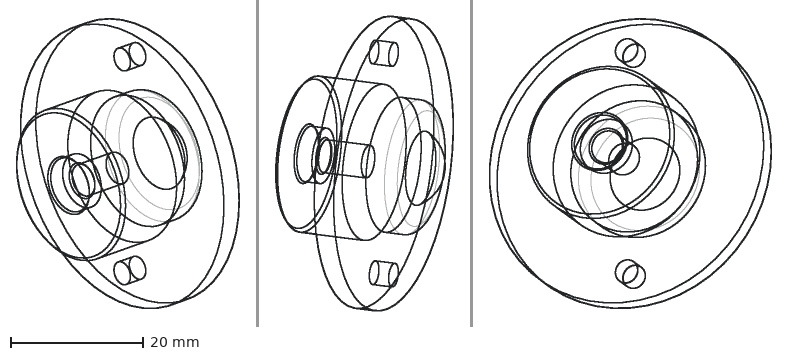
import cadquery as cq

flange_diameter = 44.5
flange_thickness = 3.2
screw_hole_diameter = 3.6
screw_hole_spacing = 34.8

body_diameter = 23.8
body_length = 11.2
body_chamfer = 0.55

cap_diameter = 20.55
cap_height = 4.5
cap_fillet = 1.45

ball_diameter = 12.7
ball_protrusion = 3.45

counterbore_diameter = 8.45
counterbore_depth = 2.8
bore_diameter = 5.0
bore_chamfer = 0.3

body_front = -body_length
cap_back = flange_thickness + cap_height
ball_center = cap_back + ball_protrusion - ball_diameter / 2


def disc(diameter, start, length):
    """Cylinder along +Y from Y = start."""
    plane = cq.Workplane("XZ", origin=(0, start, 0))
    return plane.circle(diameter / 2).extrude(-length)


def chamfered_hole(diameter, start, length):
    """Hole cutter along +Y, widened by the bore chamfer at its front rim."""
    mouth_radius = diameter / 2 + bore_chamfer
    mouth = cq.Workplane(
        cq.Solid.makeCone(
            mouth_radius,
            diameter / 2,
            bore_chamfer,
            pnt=cq.Vector(0, start, 0),
            dir=cq.Vector(0, 1, 0),
        )
    )
    return disc(diameter, start, length).union(mouth)


flange = disc(flange_diameter, 0, flange_thickness)
for side in (-1, 1):
    screw_hole = disc(screw_hole_diameter, 0, flange_thickness)
    flange = flange.cut(screw_hole.translate((0, 0, side * screw_hole_spacing / 2)))

body = disc(body_diameter, body_front, body_length).faces("<Y").chamfer(body_chamfer)
cap = disc(cap_diameter, flange_thickness, cap_height).faces(">Y").edges().fillet(cap_fillet)
ball = cq.Workplane("XY").sphere(ball_diameter / 2).translate((0, ball_center, 0))

counterbore_floor = body_front + counterbore_depth
counterbore = chamfered_hole(counterbore_diameter, body_front, counterbore_depth)
bore = chamfered_hole(bore_diameter, counterbore_floor, ball_center - counterbore_floor)

housing = flange.union(body).union(cap)
result = housing.cut(counterbore).cut(bore).union(ball)